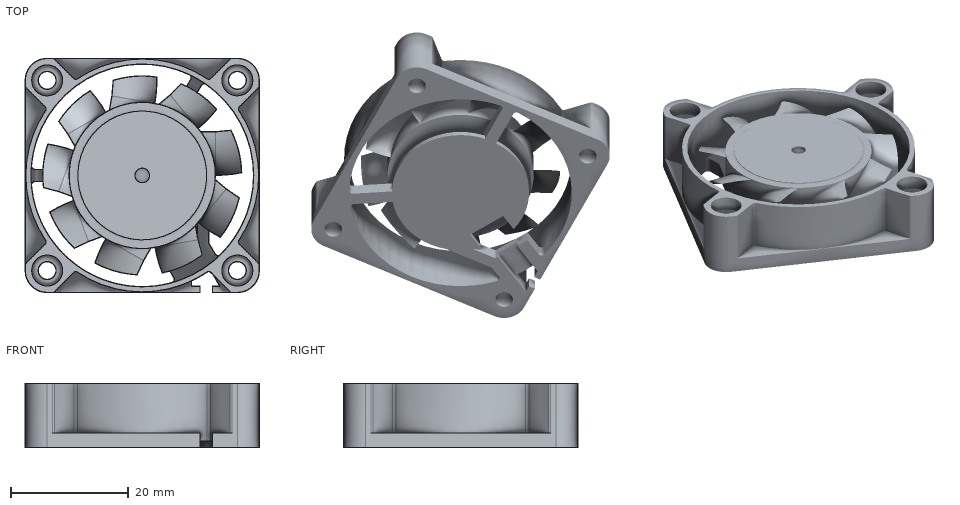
import cadquery as cq
import math

side = 40.0
height = 11.0
hole_pitch = 32.5
corner_radius = (side - hole_pitch) / 2
flange_height = 2.5

bore_radius = 38.0 / 2
ring_radius = 19.9
boss_half_width = 3.45
edge_rounding = 0.5
screw_hole_diameter = 3.0
counterbore_diameter = 5.3
counterbore_depth = 2.3

plate_radius = 11.7
plate_thickness = 1.0
spoke_width = 2.1
spoke_height = flange_height
spoke_angles = (60, 180)
spoke_rounding = 0.6

cable_angle = -60
pad_width = 8.15
pad_inner_distance = 14.4
arm_left = 9.35
arm_width = 2.0
channel_width = 4.0
channel_height = 1.15
opening_width = 6.8
channel_inner_distance = 8.0
channel_outer_distance = 20.6
cavity_left = 8.45
cavity_front = -18.9
slot_left = 9.9
slot_width = 2.1

hub_radius = 12.5
hub_bottom = 5.2
hub_top = 10.4
cap_radius = 22.0 / 2
cap_height = 0.1
center_hole_diameter = 2.5
center_hole_depth = 0.5
blade_count = 9
blade_tip_radius = 17.0
blade_start = 8.0
blade_bend = hub_radius
blade_middle = 14.8
blade_end = 17.6

root_section = [(7.5, 10.25), (2.8, 8.9), (3.1, 8.4), (0.0, 5.75)]
middle_section = [(7.7, 10.2), (2.95, 8.5), (3.3, 8.0), (0.1, 5.75)]
tip_section = [(8.2, 10.15), (3.2, 8.1), (3.5, 7.6), (0.6, 5.75)]


def rounded_square(thickness):
    return (
        cq.Workplane("XY")
        .rect(side, side)
        .extrude(thickness)
        .edges("|Z")
        .fillet(corner_radius)
    )


def radial_bar(angle, start, end, width, thickness):
    """Bar along a radius at the given angle, standing on the bottom plane."""
    return (
        cq.Workplane("XY")
        .box(end - start, width, thickness, centered=(False, True, False))
        .translate((start, 0, 0))
        .rotate((0, 0, 0), (0, 0, 1), angle)
    )


def cylinder(radius, thickness):
    return cq.Workplane("XY").circle(radius).extrude(thickness)


def make_ring_and_bosses():
    walls = cylinder(ring_radius, height).rotate((0, 0, 0), (0, 0, 1), 45)
    diagonals = radial_bar(45, -side, side, 2 * boss_half_width, height)
    diagonals = diagonals.union(radial_bar(135, -side, side, 2 * boss_half_width, height))
    square = cq.Workplane("XY").rect(side, side).extrude(height)
    walls = walls.union(diagonals.intersect(square))
    walls = walls.edges("|Z").fillet(edge_rounding)
    return walls.intersect(rounded_square(height))


def make_cable_pocket(thickness):
    """Triangular pocket outside the ring, with one wall in line with the channel wall."""
    axis = math.radians(cable_angle)
    front_right = (channel_width / 2 - cavity_front * math.cos(axis)) / -math.sin(axis)
    back = (channel_width / 2 + cavity_left * math.sin(axis)) / math.cos(axis)
    return (
        cq.Workplane("XY")
        .polyline([(cavity_left, cavity_front), (front_right, cavity_front), (cavity_left, back)])
        .close()
        .extrude(thickness)
    )


def make_cable_slot():
    """Slot from the pocket out through the front edge of the flange."""
    return (
        cq.Workplane("XY")
        .box(slot_width, side / 2 + cavity_front, flange_height, centered=False)
        .translate((slot_left, -side / 2, 0))
    )


def make_plate():
    """Round motor plate under the hub, open toward the cable channel."""
    opening = radial_bar(cable_angle, channel_inner_distance, side, opening_width, plate_thickness)
    return cylinder(plate_radius, plate_thickness).cut(opening)


def add_spoke(frame, angle, start, width, thickness):
    """Join a radial spoke to the bore and round the two corners it makes there."""
    frame = frame.union(radial_bar(angle, start, (bore_radius + ring_radius) / 2, width, thickness))
    along = math.sqrt(bore_radius**2 - (width / 2) ** 2)
    axis = math.radians(angle)
    for across in (-width / 2, width / 2):
        corner = (
            along * math.cos(axis) - across * math.sin(axis),
            along * math.sin(axis) + across * math.cos(axis),
            thickness / 2,
        )
        frame = frame.edges(cq.selectors.NearestToPointSelector(corner)).fillet(spoke_rounding)
    return frame


def make_frame():
    flange = rounded_square(flange_height)
    flange = flange.cut(make_cable_pocket(flange_height)).cut(make_cable_slot())
    frame = flange.union(make_ring_and_bosses()).cut(cylinder(bore_radius, height))

    frame = add_spoke(frame, cable_angle, pad_inner_distance, pad_width, spoke_height)
    for angle in spoke_angles:
        frame = add_spoke(frame, angle, 0, spoke_width, spoke_height)
    frame = frame.union(make_plate())

    arm_front = pad_inner_distance * math.sin(math.radians(cable_angle))
    arm = (
        cq.Workplane("XY")
        .box(arm_width, -arm_front, spoke_height, centered=False)
        .translate((arm_left, arm_front, 0))
    )
    frame = frame.union(arm)

    frame = frame.cut(make_cable_pocket(channel_height)).cut(
        radial_bar(
            cable_angle, channel_inner_distance, channel_outer_distance, channel_width, channel_height
        )
    )
    return (
        frame.faces(">Z")
        .workplane(origin=(0, 0, height))
        .rect(hole_pitch, hole_pitch, forConstruction=True)
        .vertices()
        .cboreHole(screw_hole_diameter, counterbore_diameter, counterbore_depth)
    )


def section_wire(section, x):
    """Closed crescent of two arcs in the plane at the given X."""
    trailing, upper, lower, leading = [cq.Vector(x, y, z) for y, z in section]
    return cq.Wire.assembleEdges([
        cq.Edge.makeThreePointArc(trailing, upper, leading),
        cq.Edge.makeThreePointArc(leading, lower, trailing),
    ])


def make_blade():
    """Straight blade root inside the hub tangent plane, then a swept tip trimmed round."""
    bend_wire = section_wire(root_section, blade_bend)
    root = cq.Solid.makeLoft([section_wire(root_section, blade_start), bend_wire], True)
    middle_wire = section_wire(middle_section, blade_middle)
    tip = cq.Solid.makeLoft([bend_wire, middle_wire, section_wire(tip_section, blade_end)])
    return cq.Workplane(root).union(cq.Workplane(tip)).intersect(cylinder(blade_tip_radius, height))


def make_rotor():
    hub = cylinder(hub_radius, hub_top - hub_bottom)
    hub = hub.union(cylinder(cap_radius, hub_top - hub_bottom + cap_height))
    rotor = hub.faces(">Z").workplane().hole(center_hole_diameter, center_hole_depth)
    rotor = rotor.translate((0, 0, hub_bottom))
    blade = make_blade()
    for index in range(blade_count):
        rotor = rotor.union(blade.rotate((0, 0, 0), (0, 0, 1), index * 360 / blade_count))
    return rotor


frame = make_frame()
rotor = make_rotor()
result = cq.Compound.makeCompound([frame.solids().val(), rotor.solids().val()])